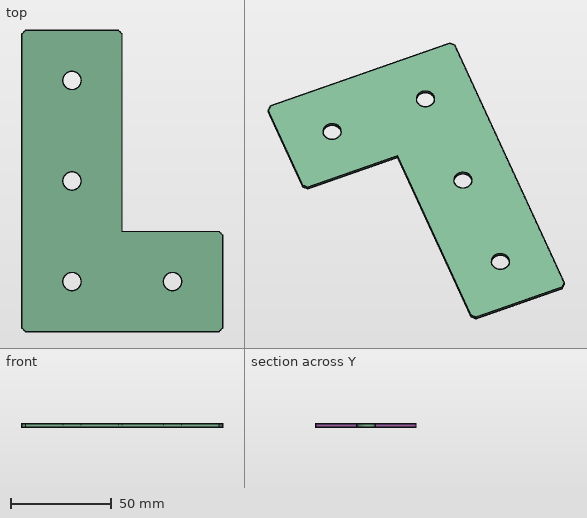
import cadquery as cq

long_side = 150.0
pitch = long_side / 3
thickness = 2.0
hole_diameter = 9.0
corner_chamfer = 2.0

short_side = 2 * pitch
half_width = pitch / 2

outline = [
    (0, 0),
    (short_side, 0),
    (short_side, pitch),
    (pitch, pitch),
    (pitch, long_side),
    (0, long_side),
]
plate = cq.Workplane("XY").polyline(outline).close().extrude(thickness)

inner_corner = cq.selectors.NearestToPointSelector((pitch, pitch, thickness / 2))
vertical_edges = cq.selectors.StringSyntaxSelector("|Z")
plate = plate.edges(vertical_edges - inner_corner).chamfer(corner_chamfer)

long_arm_holes = [(half_width, half_width + i * pitch) for i in range(3)]
short_arm_hole = (half_width + pitch, half_width)
holes = (
    cq.Workplane("XY")
    .pushPoints(long_arm_holes + [short_arm_hole])
    .circle(hole_diameter / 2)
    .extrude(thickness)
)

result = plate.cut(holes)